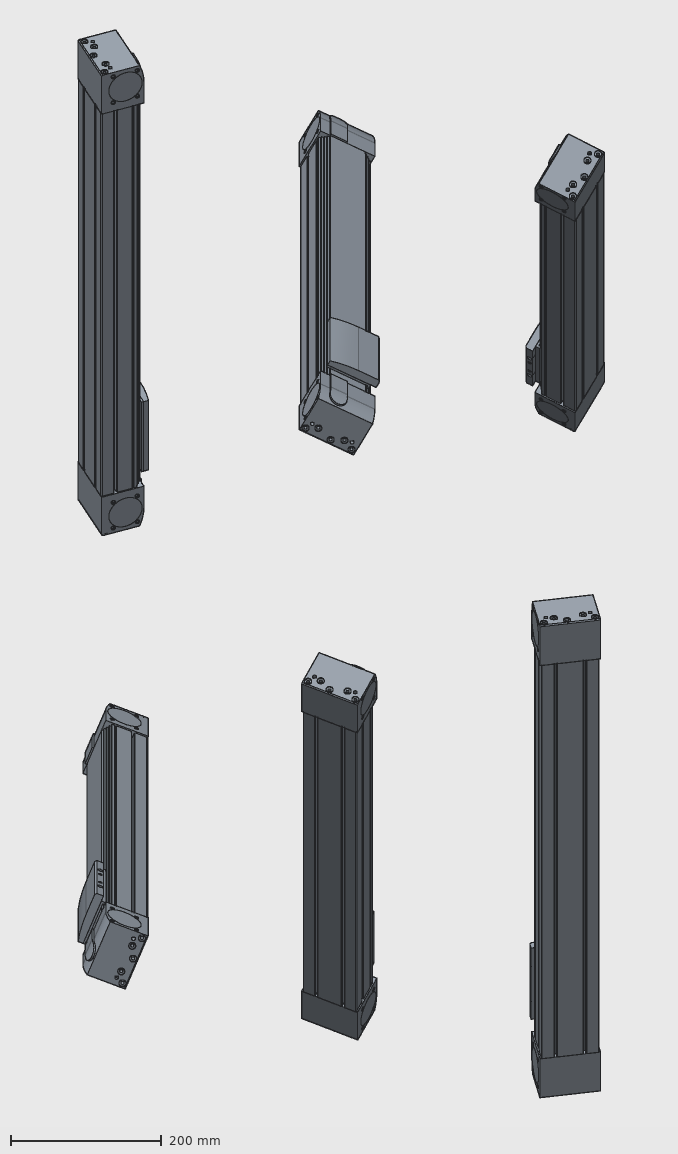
import cadquery as cq

LENGTH = 786

HEAD_WIDTH = 82.0
HEAD_HEIGHT = 66.0
HEAD_BASE_Y = 0.4
HEAD_BACK_Y = 61.0
HEAD_CHAMFER = 1.5
HEAD_EDGE_Y = 55
PULLEY_Y = 34.5
PULLEY_INSET = 30.0
PULLEY_Z = LENGTH - PULLEY_INSET
HEAD_INNER_Z = LENGTH - HEAD_HEIGHT

PAD_X = 14.0
PAD_WIDTH = 25.0
PAD_RISE = 2.0
PAD_END_INSET = 3.0

COVER_DIAMETER = 48.0
COVER_THICKNESS = 5.0

SIDE_SCREW_BORE = 3.2
SIDE_SCREW_HEAD = 5.7
SIDE_SCREW_Y = 17.0
SIDE_SCREW_Z = 22.0
SCREW_DEPTH = 12.0
SCREW_HEAD_DEPTH = 1.5
END_SCREW_BORE = 4.2
END_SCREW_HEAD = 9.5
END_SCREWS = [(-20.0, 15.0), (20.0, 15.0), (-34.5, 7.0), (34.5, 7.0), (-3.0, 7.0)]
END_PIN_DIAMETER = 4.95
END_PINS = [(-30.0, 17.0), (30.0, 17.0)]

PROFILE_WIDTH = 78.0
PROFILE_LENGTH = LENGTH - 2 * HEAD_HEIGHT
PROFILE_TOP_Y = 61.0
STEP_WIDTH = 3.0
STEP_HEIGHT = 2.0
STEP_COUNT = 4
BASE_CHAMFER_X = 1.0
BASE_CHAMFER_Y = 2.0
SLOT_MOUTH_WIDTH = 5.0
SLOT_MOUTH_DEPTH = 1.5
SLOT_WIDTH = 3.2
SLOT_DEPTH = 8
BASE_SLOT_X = 20.0
SIDE_SLOT_Y = 21.0
SIDE_GROOVE_Y = 46.0
SIDE_GROOVE_WIDTH = 2.0
SIDE_GROOVE_DEPTH = 1.5

CARRIAGE_BOTTOM_Z = 84.0
CARRIAGE_LENGTH = 119.0
CARRIAGE_MID_Z = CARRIAGE_BOTTOM_Z + CARRIAGE_LENGTH / 2
CARRIAGE_TOP_Y = 76.0
SLIDE_TOP_Y = 64.5
SKIRT_BOTTOM_Y = 58.0
CARRIAGE_LEFT = -HEAD_WIDTH / 2
CARRIAGE_RIGHT = 32.0
SKIRT_OUTER_X = 33.0
SKIRT_INNER_X = 30.0
CARRIAGE_CHAMFER = 2.0
ROUND_START_X = -8
ROUND_MID = (16, 75.0)
ROUND_END_Y = 71.5
CARRIAGE_HOLE_Y = 69.0
LARGE_HOLE_DIAMETER = 7.0
LARGE_HOLE_OFFSET = 29.0
SMALL_HOLE_DIAMETER = 5.0
SMALL_HOLE_OFFSET = 14.0
CARRIAGE_HOLE_DEPTH = 8


def drill(start, direction, diameter, depth):
    """Solid cylinder that removes a blind hole."""
    return cq.Workplane(cq.Solid.makeCylinder(
        diameter / 2, depth, cq.Vector(*start), cq.Vector(*direction)))


def screw_hole(start, direction, bore, head):
    """Blind bore with a counterbore at its mouth."""
    counterbore = drill(start, direction, head, SCREW_HEAD_DEPTH)
    return counterbore.union(drill(start, direction, bore, SCREW_DEPTH))


def head_outline(rise):
    """Side outline of a head, its back raised by `rise`."""
    back = HEAD_BACK_Y + rise
    edge = HEAD_EDGE_Y + rise
    return (
        cq.Workplane("YZ")
        .moveTo(HEAD_BASE_Y, HEAD_INNER_Z)
        .lineTo(back, HEAD_INNER_Z)
        .lineTo(back, PULLEY_Z)
        .tangentArcPoint((edge, LENGTH), relative=False)
        .lineTo(HEAD_BASE_Y + HEAD_CHAMFER, LENGTH)
        .lineTo(HEAD_BASE_Y, LENGTH - HEAD_CHAMFER)
        .close()
    )


def make_pad():
    """Raised strip with a rounded end that follows the curved back."""
    radius = PAD_WIDTH / 2
    centre_z = LENGTH - PAD_END_INSET - radius
    left = PAD_X - radius
    right = PAD_X + radius
    strip = (
        cq.Workplane("XZ", origin=(0, PULLEY_Y, 0))
        .moveTo(left, HEAD_INNER_Z)
        .lineTo(right, HEAD_INNER_Z)
        .lineTo(right, centre_z)
        .threePointArc((PAD_X, centre_z + radius), (left, centre_z))
        .close()
        .extrude(-HEAD_BACK_Y)
    )
    return head_outline(PAD_RISE).extrude(HEAD_WIDTH / 2, both=True).intersect(strip)


def make_cover(side):
    """Disc set flush into the left (-1) or right (+1) side of the upper head."""
    face_x = side * HEAD_WIDTH / 2
    return drill((face_x, PULLEY_Y, PULLEY_Z), (-side, 0, 0), COVER_DIAMETER, COVER_THICKNESS)


def make_head():
    """Upper head with its screw holes and the seats of its covers."""
    head = head_outline(0).extrude(HEAD_WIDTH / 2, both=True).union(make_pad())
    for side in (-1, 1):
        head = head.cut(make_cover(side))
        for dy in (-SIDE_SCREW_Y, SIDE_SCREW_Y):
            for dz in (-SIDE_SCREW_Z, SIDE_SCREW_Z):
                mouth = (side * HEAD_WIDTH / 2, PULLEY_Y + dy, PULLEY_Z + dz)
                head = head.cut(screw_hole(mouth, (-side, 0, 0), SIDE_SCREW_BORE, SIDE_SCREW_HEAD))
    for x, y in END_SCREWS:
        head = head.cut(screw_hole((x, y, LENGTH), (0, 0, -1), END_SCREW_BORE, END_SCREW_HEAD))
    for x, y in END_PINS:
        head = head.cut(drill((x, y, LENGTH), (0, 0, -1), END_PIN_DIAMETER, SCREW_DEPTH))
    return head


def mirror_to_bottom(body):
    """Copy of an upper body at the lower end."""
    return body.mirror("XY", (0, 0, LENGTH / 2))


def cut_grooves(profile, places, size_x, size_y):
    """Run a rectangular groove the whole length of the profile at each place."""
    grooves = (
        cq.Workplane("XY", origin=(0, 0, HEAD_HEIGHT))
        .pushPoints(places)
        .rect(size_x, size_y)
        .extrude(PROFILE_LENGTH)
    )
    return profile.cut(grooves)


def make_profile():
    """Extrusion with stepped shoulders, slots in its base and slots and grooves in its sides."""
    half = PROFILE_WIDTH / 2
    right_edge = [(half - BASE_CHAMFER_X, 0), (half, BASE_CHAMFER_Y)]
    for step in range(STEP_COUNT):
        y = PROFILE_TOP_Y - (STEP_COUNT - step) * STEP_HEIGHT
        right_edge.append((half - step * STEP_WIDTH, y))
        right_edge.append((half - (step + 1) * STEP_WIDTH, y))
    right_edge.append((half - STEP_COUNT * STEP_WIDTH, PROFILE_TOP_Y))
    left_edge = [(-x, y) for x, y in reversed(right_edge)]
    profile = (
        cq.Workplane("XY", origin=(0, 0, HEAD_HEIGHT))
        .polyline(right_edge + left_edge)
        .close()
        .extrude(PROFILE_LENGTH)
    )
    base_slots = [(-BASE_SLOT_X, 0), (BASE_SLOT_X, 0)]
    side_slots = [(-half, SIDE_SLOT_Y), (half, SIDE_SLOT_Y)]
    side_grooves = [(-half, SIDE_GROOVE_Y), (half, SIDE_GROOVE_Y)]
    for width, depth in [(SLOT_MOUTH_WIDTH, SLOT_MOUTH_DEPTH), (SLOT_WIDTH, SLOT_DEPTH)]:
        profile = cut_grooves(profile, base_slots, width, 2 * depth)
        profile = cut_grooves(profile, side_slots, 2 * depth, width)
    return cut_grooves(profile, side_grooves, 2 * SIDE_GROOVE_DEPTH, SIDE_GROOVE_WIDTH)


def make_plate():
    """Plate with a curved right flank and holes in its left side."""
    plate = (
        cq.Workplane("XY", origin=(0, 0, CARRIAGE_BOTTOM_Z))
        .moveTo(CARRIAGE_LEFT, SLIDE_TOP_Y)
        .lineTo(CARRIAGE_LEFT, CARRIAGE_TOP_Y - CARRIAGE_CHAMFER)
        .lineTo(CARRIAGE_LEFT + CARRIAGE_CHAMFER, CARRIAGE_TOP_Y)
        .lineTo(ROUND_START_X, CARRIAGE_TOP_Y)
        .threePointArc(ROUND_MID, (CARRIAGE_RIGHT, ROUND_END_Y))
        .lineTo(CARRIAGE_RIGHT, SLIDE_TOP_Y)
        .close()
        .extrude(CARRIAGE_LENGTH)
    )
    holes = [
        (LARGE_HOLE_OFFSET, LARGE_HOLE_DIAMETER),
        (SMALL_HOLE_OFFSET, SMALL_HOLE_DIAMETER),
    ]
    for offset, diameter in holes:
        for z in (CARRIAGE_MID_Z - offset, CARRIAGE_MID_Z + offset):
            mouth = (CARRIAGE_LEFT, CARRIAGE_HOLE_Y, z)
            plate = plate.cut(drill(mouth, (1, 0, 0), diameter, CARRIAGE_HOLE_DEPTH))
    return plate


def make_slide():
    """Block between profile and plate, with a skirt down the left shoulder of the profile."""
    return (
        cq.Workplane("XY", origin=(0, 0, CARRIAGE_BOTTOM_Z))
        .moveTo(-SKIRT_OUTER_X, SLIDE_TOP_Y)
        .lineTo(CARRIAGE_RIGHT, SLIDE_TOP_Y)
        .lineTo(CARRIAGE_RIGHT, PROFILE_TOP_Y)
        .lineTo(-SKIRT_INNER_X, PROFILE_TOP_Y)
        .lineTo(-SKIRT_INNER_X, SKIRT_BOTTOM_Y)
        .lineTo(-SKIRT_OUTER_X, SKIRT_BOTTOM_Y)
        .close()
        .extrude(CARRIAGE_LENGTH)
    )


profile = make_profile()
slide = make_slide()
plate = make_plate()
upper_head = make_head()
heads = [upper_head, mirror_to_bottom(upper_head)]
upper_covers = [make_cover(side) for side in (-1, 1)]
covers = upper_covers + [mirror_to_bottom(cover) for cover in upper_covers]

bodies = [profile, slide, plate, *heads, *covers]
result = cq.Compound.makeCompound([body.val() for body in bodies])